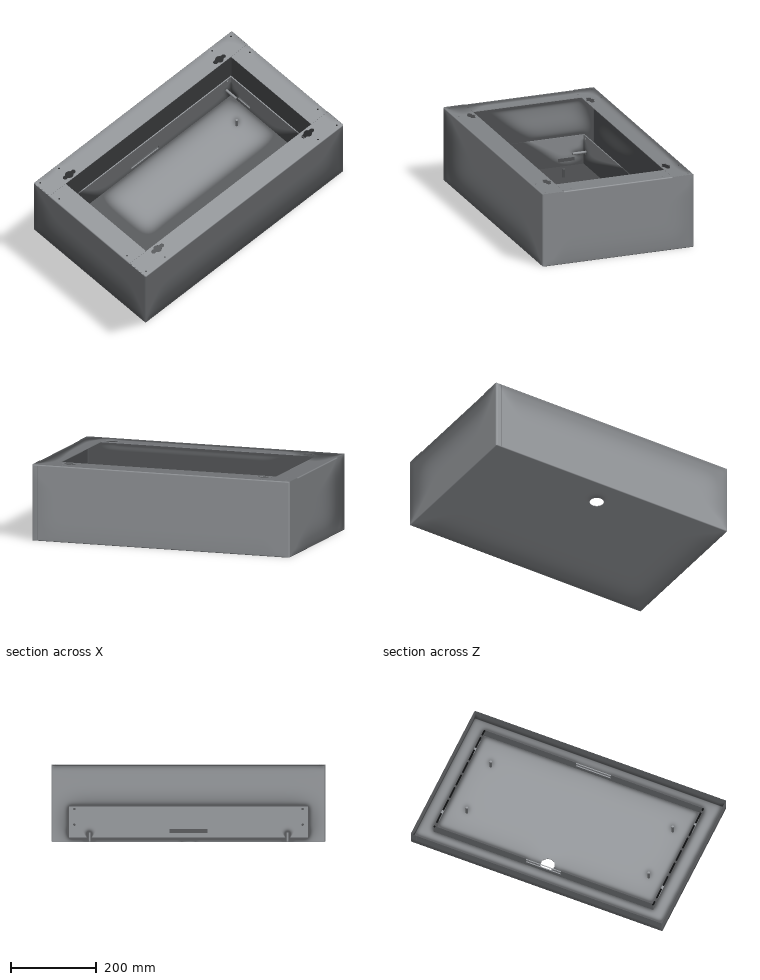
import cadquery as cq
WIDTH = 378.0
LENGTH = 638.0
HEIGHT = 180.0
SHEET = 1.5
BEND_RADIUS = 2.5
CORNER_RADIUS = 4.0
SEAM_WIDTH = 0.3
SEAM_DEPTH = 0.5
WALL_SEAM_INSET = 14.5

OPENING_X = 270.5
OPENING_Y = 532.0

SCREW_DIAMETER = 4.5
SCREW_INSET_X = 11.0
SCREW_INSET_Y = 12.0
SIDE_SCREW_PITCH = 493.0
END_SCREW_PITCH = 228.5
KEYHOLE_X = 148.5
KEYHOLE_Y = 242.0
KEYHOLE_DIAMETER = 20.0
KEYHOLE_SLOT_LENGTH = 37.0
KEYHOLE_SLOT_WIDTH = 11.0
KEYHOLE_ANGLE = 90

CABLE_HOLE_X = 122.5
CABLE_HOLE_DIAMETER = 33.0

STUD_DIAMETER = 6.0
STUD_HEIGHT = 20.5
STUD_MIDDLE_X = -7.5
STUD_PITCH_X = 141.0
STUD_PITCH_Y = 460.5

FRAME_SHEET = 2.5
FRAME_INSET = 41.0
FRAME_BOTTOM = 11.0
FRAME_TOP = 83.0
LIP_HEIGHT = 7.5
LIP_RELIEF = 0.3
FRAME_X = WIDTH - 2 * FRAME_INSET
FRAME_Y = LENGTH - 2 * FRAME_INSET
FRAME_INSIDE_X = FRAME_X - 2 * FRAME_SHEET
FRAME_INSIDE_Y = FRAME_Y - 2 * FRAME_SHEET

CABLE_SLOT_BOTTOM = 21.0
CABLE_SLOT_HEIGHT = 9.5
SIDE_SLOT_LENGTH = 88.0
END_SLOT_LENGTH = 41.0
END_SLOT_X = 102.0
CORNER_HOLE_DIAMETER = 6.0
CORNER_HOLE_INSET = 10.0
CORNER_HOLE_HEIGHTS = (40.0, 76.5)

PEG_DIAMETER = 6.5
PEG_Y = 261.0
PEG_END_X = -111.5
PEG_HEIGHT = 44.5


def block(size_x, size_y, bottom, top, x=0.0, y=0.0):
    """Upright block centred on (x, y) between two heights."""
    return cq.Workplane("XY").box(size_x, size_y, top - bottom).translate((x, y, (bottom + top) / 2))


def top_cut(points, diameter):
    """Round cutters through the top flange."""
    underside = cq.Workplane("XY", origin=(0, 0, HEIGHT - SHEET))
    return underside.pushPoints(points).circle(diameter / 2).extrude(SHEET)


def corners(x, y):
    """The four points mirrored about both centre lines."""
    return [(side * x, end * y) for side in (-1, 1) for end in (-1, 1)]


def outer_form():
    """Solid outline of the housing; the top end edges stay square beside the middle strip."""
    across = cq.Workplane("XZ").rect(WIDTH, HEIGHT).extrude(LENGTH, both=True)
    across = across.edges("|Y").fillet(BEND_RADIUS)
    along = cq.Workplane("YZ").rect(LENGTH, HEIGHT).extrude(WIDTH, both=True)
    bottom_rounded = along.edges("|X").edges("<Z").fillet(BEND_RADIUS)
    end_edges = along.cut(along.edges("|X").edges(">Z").fillet(BEND_RADIUS))
    middle_edges = end_edges.intersect(cq.Workplane("XY").box(OPENING_X, 2 * LENGTH, 2 * HEIGHT))
    form = across.intersect(bottom_rounded).cut(middle_edges).translate((0, 0, HEIGHT / 2))
    upright = block(WIDTH, LENGTH, 0, HEIGHT).edges("|Z").fillet(CORNER_RADIUS)
    return form.intersect(upright)


def housing_shell():
    """Thin box with rounded bends, a floor and a flange around the opening."""
    inner = block(WIDTH - 2 * SHEET, LENGTH - 2 * SHEET, SHEET, HEIGHT - SHEET)
    inner = inner.edges("|Z").fillet(CORNER_RADIUS - SHEET)
    inner = inner.faces("<Z or >Z").edges().fillet(BEND_RADIUS - SHEET)
    return outer_form().cut(inner).cut(block(OPENING_X, OPENING_Y, HEIGHT / 2, HEIGHT))


def cut_seams(shell):
    """Hairline joints where the bent sheets meet, in the flange and in the side walls."""
    end_flange = (LENGTH - OPENING_Y) / 2
    for x, y in corners(OPENING_X / 2, (LENGTH - end_flange) / 2):
        shell = shell.cut(block(SEAM_WIDTH, end_flange, HEIGHT - SHEET, HEIGHT, x, y))
    side_flange = (WIDTH - OPENING_X) / 2
    for x, y in corners((WIDTH - side_flange) / 2, LENGTH / 2 - SHEET):
        shell = shell.cut(block(side_flange, SEAM_WIDTH, HEIGHT - SEAM_DEPTH, HEIGHT, x, y))
    for x, y in corners((WIDTH - SHEET) / 2, LENGTH / 2 - WALL_SEAM_INSET):
        shell = shell.cut(block(SHEET, SEAM_WIDTH, BEND_RADIUS, HEIGHT - BEND_RADIUS, x, y))
    return shell


def cut_flange_holes(shell):
    """Screw holes around the rim and keyholes in the side flanges."""
    side_x = WIDTH / 2 - SCREW_INSET_X
    end_y = LENGTH / 2 - SCREW_INSET_Y
    screws = corners(side_x, end_y)
    screws += corners(side_x, SIDE_SCREW_PITCH / 2)
    screws += corners(END_SCREW_PITCH / 2, end_y)
    keyholes = corners(KEYHOLE_X, KEYHOLE_Y)
    slots = (
        cq.Workplane("XY", origin=(0, 0, HEIGHT - SHEET))
        .pushPoints(keyholes)
        .slot2D(KEYHOLE_SLOT_LENGTH, KEYHOLE_SLOT_WIDTH, KEYHOLE_ANGLE)
        .extrude(SHEET)
    )
    return shell.cut(top_cut(screws, SCREW_DIAMETER)).cut(top_cut(keyholes, KEYHOLE_DIAMETER)).cut(slots)


def make_housing():
    """Complete housing with the cable hole through its floor."""
    cable_hole = cq.Workplane("XY").center(CABLE_HOLE_X, 0).circle(CABLE_HOLE_DIAMETER / 2).extrude(SHEET)
    return cut_flange_holes(cut_seams(housing_shell())).cut(cable_hole)


def make_frame():
    """Ring of upright sheet with a thinner bottom lip, cable slots, corner holes and pegs."""
    lip_top = FRAME_BOTTOM + LIP_HEIGHT
    frame = block(FRAME_X, FRAME_Y, FRAME_BOTTOM, FRAME_TOP)
    frame = frame.cut(block(FRAME_INSIDE_X, FRAME_INSIDE_Y, FRAME_BOTTOM, FRAME_TOP))
    relief = 2 * LIP_RELIEF
    frame = frame.cut(block(FRAME_INSIDE_X + relief, FRAME_INSIDE_Y + relief, FRAME_BOTTOM, lip_top))

    slot_top = CABLE_SLOT_BOTTOM + CABLE_SLOT_HEIGHT
    frame = frame.cut(block(2 * FRAME_X, SIDE_SLOT_LENGTH, CABLE_SLOT_BOTTOM, slot_top))
    for x in (-END_SLOT_X, END_SLOT_X):
        frame = frame.cut(block(END_SLOT_LENGTH, 2 * FRAME_Y, CABLE_SLOT_BOTTOM, slot_top, x))

    hole_y = FRAME_INSIDE_Y / 2 - CORNER_HOLE_INSET
    holes = [(y, z) for y in (-hole_y, hole_y) for z in CORNER_HOLE_HEIGHTS]
    drill = cq.Workplane("YZ").pushPoints(holes).circle(CORNER_HOLE_DIAMETER / 2).extrude(FRAME_X, both=True)
    frame = frame.cut(drill)

    peg_start_x = -FRAME_X / 2 + FRAME_SHEET / 2
    pegs = (
        cq.Workplane("YZ", origin=(peg_start_x, 0, PEG_HEIGHT))
        .pushPoints([(-PEG_Y, 0), (PEG_Y, 0)])
        .circle(PEG_DIAMETER / 2)
        .extrude(PEG_END_X - peg_start_x)
    )
    return frame.union(pegs)


def make_stud(x, y):
    """Plain round stud standing on the floor."""
    return cq.Workplane("XY", origin=(x, y, SHEET)).circle(STUD_DIAMETER / 2).extrude(STUD_HEIGHT)


housing = make_housing()
frame = make_frame()
studs = [make_stud(STUD_MIDDLE_X + x, y) for x, y in corners(STUD_PITCH_X / 2, STUD_PITCH_Y / 2)]

result = cq.Compound.makeCompound([housing.val(), frame.val(), *[stud.val() for stud in studs]])